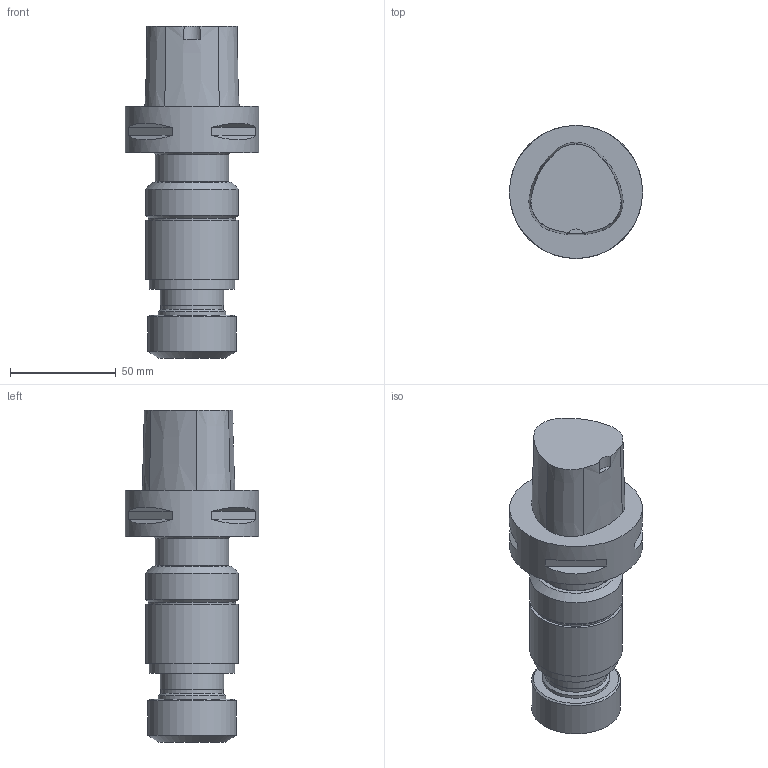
import cadquery as cq
import math


SHANK_LENGTH = 38.0
LOBE_REACH = 23.5
FLAT_REACH = 20.4
LOBE_RADIUS = 14.5
TAPER_ON_DIAMETER = 1 / 20
LOBE_ANGLES = (-30, 90, 210)
LOBE_TO_FLANK = 60

SLOT_RADIUS = 5.0
SLOT_CENTER_Y = -22.55
SLOT_DEPTH = 6.2

FLANGE_DIAMETER = 63.0
FLANGE_BOTTOM = -22.0
NOTCH_Z = -11.9
NOTCH_FLOOR_REACH = 27.9
NOTCH_FLOOR_HEIGHT = 3.8
NOTCH_WALL_ANGLE = 30.0
NOTCH_ANGLES = (45, 135, 225, 315)

NECK_DIAMETER = 34.6
NECK_TOP_CHAMFER = 0.9
NECK_BOTTOM_CHAMFER = 0.5
BODY_TOP = -36.0
BODY_DIAMETER = 44.0
BODY_CHAMFER = 3.2
GROOVE_TOP = -51.6
GROOVE_BOTTOM = -53.8
GROOVE_DIAMETER = 41.4
BODY_BOTTOM = -81.8
COLLAR_DIAMETER = 40.4
COLLAR_BOTTOM = -86.5

STEM_DIAMETER = 30.0
STEM_BOTTOM = -94.1
RELIEF_DIAMETER = 29.59
RELIEF_BOTTOM = -96.1
NUT_RING_DIAMETER = 31.98
NUT_TOP = -98.8
NUT_DIAMETER = 42.0
NUT_TOP_CHAMFER = 0.8
NUT_BOTTOM = -119.1
NUT_CONE_HEIGHT = 3.2
NUT_FACE_DIAMETER = 31.8


def polar(radius, angle):
    """Point at a radius and an angle in degrees from the axis."""
    return (radius * math.cos(math.radians(angle)), radius * math.sin(math.radians(angle)))


def make_shank():
    """Tapered shank of three lobe arcs joined tangentially by three flank arcs."""
    lobe_offset = LOBE_REACH - LOBE_RADIUS
    reach_gap = FLAT_REACH - LOBE_RADIUS
    flank_offset = (lobe_offset**2 - reach_gap**2) / (2 * reach_gap - lobe_offset)
    flank_radius = flank_offset + FLAT_REACH

    def joint(lobe_angle, flank_angle):
        """Tangent point of a lobe arc and a neighboring flank arc."""
        lobe_x, lobe_y = polar(lobe_offset, lobe_angle)
        flank_x, flank_y = polar(flank_offset, flank_angle + 180)
        stretch = flank_radius / (flank_radius - LOBE_RADIUS)
        return (flank_x + stretch * (lobe_x - flank_x), flank_y + stretch * (lobe_y - flank_y))

    first = LOBE_ANGLES[0]
    outline = cq.Workplane("XY").moveTo(*joint(first, first - LOBE_TO_FLANK))
    for angle in LOBE_ANGLES:
        flank_angle = angle + LOBE_TO_FLANK
        next_lobe_angle = flank_angle + LOBE_TO_FLANK
        outline = outline.threePointArc(polar(LOBE_REACH, angle), joint(angle, flank_angle))
        outline = outline.threePointArc(polar(FLAT_REACH, flank_angle), joint(next_lobe_angle, flank_angle))
    wall_angle = math.degrees(math.atan(TAPER_ON_DIAMETER / 2))
    return outline.close().extrude(SHANK_LENGTH, taper=wall_angle)


def make_slot():
    """Upright round cutter that opens the -Y flank at the top of the shank."""
    floor = cq.Workplane("XY").workplane(offset=SHANK_LENGTH - SLOT_DEPTH)
    return floor.center(0, SLOT_CENTER_Y).circle(SLOT_RADIUS).extrude(SLOT_DEPTH)


def make_turned_body():
    """Flange, neck, body, collar, stem and nut as one revolved profile."""
    flange = FLANGE_DIAMETER / 2
    neck = NECK_DIAMETER / 2
    body = BODY_DIAMETER / 2
    groove = GROOVE_DIAMETER / 2
    collar = COLLAR_DIAMETER / 2
    stem = STEM_DIAMETER / 2
    relief = RELIEF_DIAMETER / 2
    ring = NUT_RING_DIAMETER / 2
    nut = NUT_DIAMETER / 2
    profile = [
        (0, 0),
        (flange, 0),
        (flange, FLANGE_BOTTOM),
        (neck + NECK_TOP_CHAMFER, FLANGE_BOTTOM),
        (neck, FLANGE_BOTTOM - NECK_TOP_CHAMFER),
        (neck, BODY_TOP + NECK_BOTTOM_CHAMFER),
        (neck - NECK_BOTTOM_CHAMFER, BODY_TOP),
        (body - BODY_CHAMFER, BODY_TOP),
        (body, BODY_TOP - BODY_CHAMFER),
        (body, GROOVE_TOP),
        (groove, GROOVE_TOP - (body - groove)),
        (groove, GROOVE_BOTTOM),
        (body, GROOVE_BOTTOM),
        (body, BODY_BOTTOM),
        (collar, BODY_BOTTOM),
        (collar, COLLAR_BOTTOM),
        (stem, COLLAR_BOTTOM),
        (stem, STEM_BOTTOM),
        (relief, STEM_BOTTOM),
        (relief, RELIEF_BOTTOM),
        (ring, RELIEF_BOTTOM - (ring - relief)),
        (ring, NUT_TOP),
        (nut - NUT_TOP_CHAMFER, NUT_TOP),
        (nut, NUT_TOP - NUT_TOP_CHAMFER),
        (nut, NUT_BOTTOM + NUT_CONE_HEIGHT),
        (NUT_FACE_DIAMETER / 2, NUT_BOTTOM),
        (0, NUT_BOTTOM),
    ]
    return cq.Workplane("XZ").polyline(profile).close().revolve(360, (0, 0), (0, 1))


def make_notch(angle):
    """Straight flared cutter for one gripper notch, facing the given angle."""
    rim = FLANGE_DIAMETER / 2
    flare = (rim - NOTCH_FLOOR_REACH) * math.tan(math.radians(NOTCH_WALL_ANGLE))
    half_floor = NOTCH_FLOOR_HEIGHT / 2
    half_mouth = half_floor + flare
    section = [
        (NOTCH_FLOOR_REACH, NOTCH_Z - half_floor),
        (rim, NOTCH_Z - half_mouth),
        (rim, NOTCH_Z + half_mouth),
        (NOTCH_FLOOR_REACH, NOTCH_Z + half_floor),
    ]
    cutter = cq.Workplane("XZ").polyline(section).close().extrude(rim, both=True)
    return cutter.rotate((0, 0, 0), (0, 0, 1), angle)


result = make_turned_body().union(make_shank()).cut(make_slot())
for notch_angle in NOTCH_ANGLES:
    result = result.cut(make_notch(notch_angle))